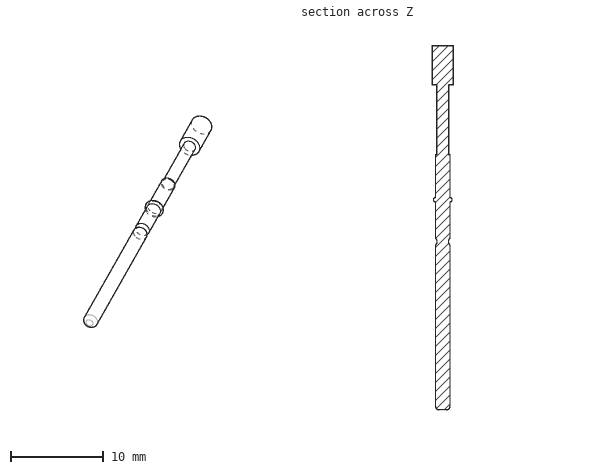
import cadquery as cq

LENGTH = 39.2
HEAD_DIAMETER = 2.3
HEAD_LENGTH = 4.25
PLUNGER_DIAMETER = 1.35
PLUNGER_LENGTH = 7.5
BARREL_DIAMETER = 1.55
TAIL_ROUNDING = 0.4

BEAD_FROM_HEAD_END = 16.6
BEAD_RADIUS = 0.25

CRIMP_FROM_HEAD_END = 21.1
CRIMP_WIDTH = 0.75
CRIMP_DEPTH = 0.15

head_base = LENGTH - HEAD_LENGTH
barrel_top = head_base - PLUNGER_LENGTH
bead_center = LENGTH - BEAD_FROM_HEAD_END
crimp_center = LENGTH - CRIMP_FROM_HEAD_END

head_radius = HEAD_DIAMETER / 2
plunger_radius = PLUNGER_DIAMETER / 2
barrel_radius = BARREL_DIAMETER / 2
crimp_half_width = CRIMP_WIDTH / 2

half_section = (
    cq.Workplane("YZ")
    .lineTo(0, barrel_radius - TAIL_ROUNDING)
    .radiusArc((TAIL_ROUNDING, barrel_radius), TAIL_ROUNDING)
    .lineTo(crimp_center - crimp_half_width, barrel_radius)
    .threePointArc(
        (crimp_center, barrel_radius - CRIMP_DEPTH),
        (crimp_center + crimp_half_width, barrel_radius),
    )
    .lineTo(bead_center - BEAD_RADIUS, barrel_radius)
    .threePointArc(
        (bead_center, barrel_radius + BEAD_RADIUS),
        (bead_center + BEAD_RADIUS, barrel_radius),
    )
    .lineTo(barrel_top, barrel_radius)
    .lineTo(barrel_top, plunger_radius)
    .lineTo(head_base, plunger_radius)
    .lineTo(head_base, head_radius)
    .lineTo(LENGTH, head_radius)
    .lineTo(LENGTH, 0)
    .close()
)

result = half_section.revolve(360, (0, 0, 0), (1, 0, 0))